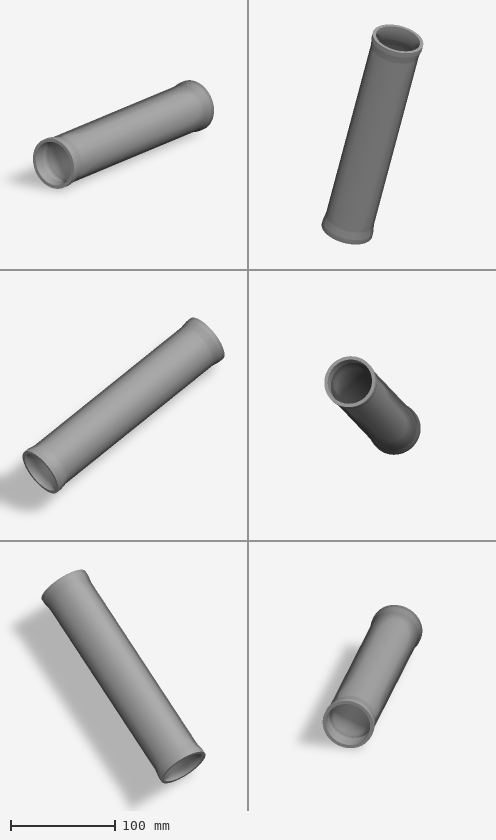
import cadquery as cq

length = 220.0
half_length = length / 2

collar_radius = 50.0 / 2
barrel_radius = 47.3 / 2
collar_width = 5.0
outer_flare_width = 8.0

mouth_radius = 43.3 / 2
bore_radius = 45.5 / 2
mouth_depth = 15.0
inner_taper_width = 6.2


def stepped_cylinder(end_radius, middle_radius, end_width, taper_width):
    """Solid of revolution about Y with equal ends joined to its middle by cones."""
    taper_start = half_length - end_width
    taper_end = taper_start - taper_width
    profile = [
        (-half_length, 0),
        (-half_length, end_radius),
        (-taper_start, end_radius),
        (-taper_end, middle_radius),
        (taper_end, middle_radius),
        (taper_start, end_radius),
        (half_length, end_radius),
        (half_length, 0),
    ]
    return cq.Workplane("YZ").polyline(profile).close().revolve(360, (0, 0), (1, 0))


outside = stepped_cylinder(collar_radius, barrel_radius, collar_width, outer_flare_width)
inside = stepped_cylinder(mouth_radius, bore_radius, mouth_depth, inner_taper_width)

result = outside.cut(inside)